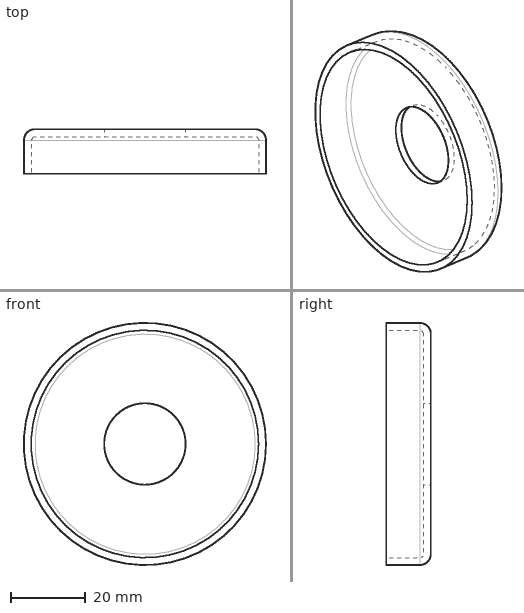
import cadquery as cq

outer_diameter = 65.0
height = 12.0
wall = 2.0
hole_diameter = 21.8
outer_fillet = 3.0
inner_fillet = outer_fillet - wall

inner_diameter = outer_diameter - 2 * wall
cavity_depth = height - wall


def cylinder_along_y(diameter, length):
    """Cylinder from the open rim plane (Y = 0) toward +Y."""
    return cq.Workplane("XZ").circle(diameter / 2).extrude(-length)


body = cylinder_along_y(outer_diameter, height).faces(">Y").edges().fillet(outer_fillet)

cavity = cylinder_along_y(inner_diameter, cavity_depth).faces(">Y").edges().fillet(inner_fillet)

hole = cylinder_along_y(hole_diameter, height)

result = body.cut(cavity).cut(hole)